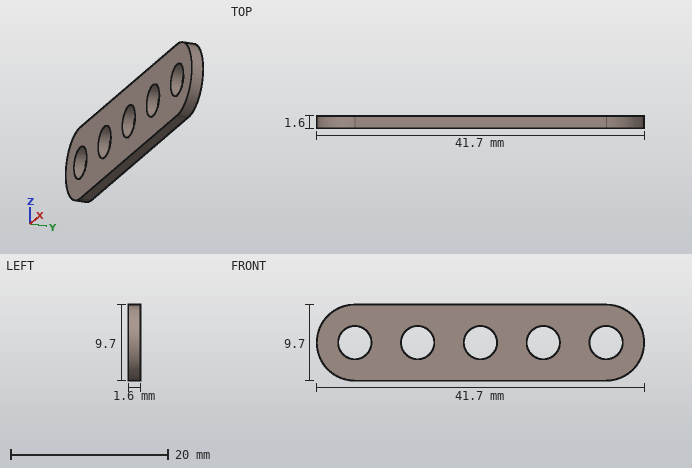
import cadquery as cq

length = 41.7
width = 9.7
thickness = 1.6
hole_diameter = 4.2
hole_count = 5

hole_pitch = (length - width) / (hole_count - 1)

back_plane = cq.Workplane("XZ", origin=(0, thickness / 2, 0))
strip = back_plane.slot2D(length, width).extrude(thickness)

holes = (
    back_plane
    .rarray(hole_pitch, 0.4, hole_count, 1)
    .circle(hole_diameter / 2)
    .extrude(thickness)
)

result = strip.cut(holes)